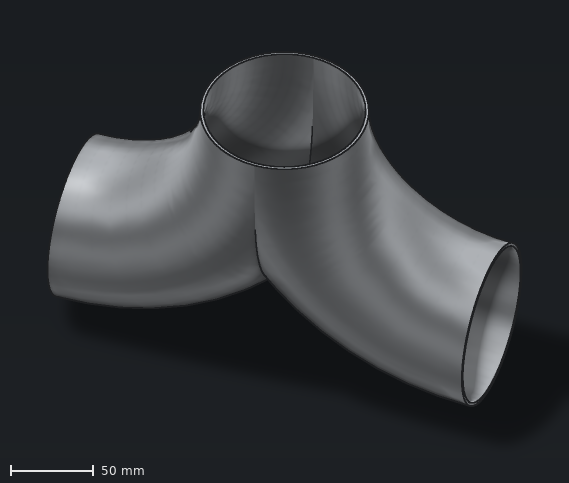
import cadquery as cq

overall_length = 267.0
pipe_diameter = 101.7
wall = 2.0

bend_radius = overall_length / 2
outer_radius = pipe_diameter / 2
inner_radius = outer_radius - wall


def quarter_bend(radius):
    """Solid 90 degree bend from the top opening at the origin to the +X opening."""
    return (
        cq.Workplane("XY")
        .circle(radius)
        .revolve(90, (bend_radius, 0, 0), (bend_radius, -1, 0))
    )


def right_half(bend):
    """Keep the part of a bend on the +X side of the middle plane."""
    size = 4 * bend_radius
    half_space = cq.Workplane("XY").box(size, size, size, centered=(False, True, True))
    return bend.intersect(half_space)


elbow = right_half(quarter_bend(outer_radius).cut(quarter_bend(inner_radius)))

result = elbow.union(elbow.mirror("YZ"))